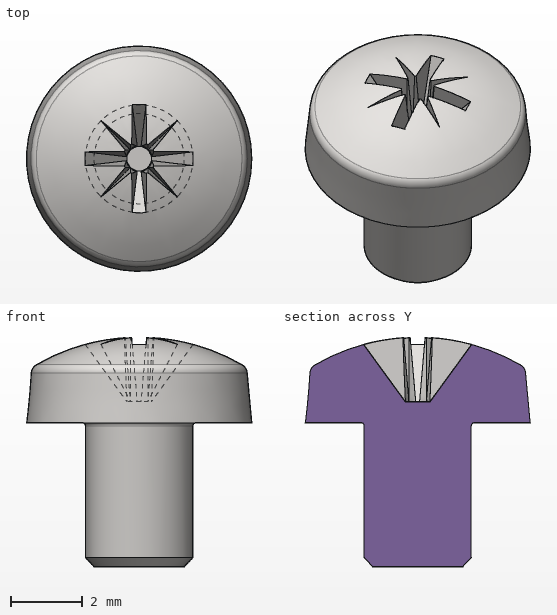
import cadquery as cq
import math

overall_height = 6.37
dome_apex_allowance = 0.018

shank_length = 4.0
shank_radius = 1.5
tip_chamfer_height = 0.255
tip_chamfer_width = 0.24
neck_radius = 0.08

head_height = overall_height + dome_apex_allowance - shank_length
head_radius = 3.135
flank_height = 1.39
flank_top_radius = 3.005
dome_edge_radius = 2.86
dome_rise = 0.77
dome_edge_height = head_height - dome_rise
dome_radius = (dome_edge_radius**2 + dome_rise**2) / (2 * dome_rise)


def dome_height(radius):
    """Height of the dome surface at a distance from the screw axis."""
    return head_height - dome_radius + math.sqrt(dome_radius**2 - radius**2)


mouth_reach = 1.505
recess_depth = 1.59
floor_radius = 0.345
core_mouth_radius = 0.445
wing_mouth_width = 0.38
wing_floor_width = 0.11
groove_half_angle = 4.8
groove_direction = 45
floor_height = dome_height(mouth_reach) - recess_depth

cutter_overrun = 0.065
cutter_height = head_height + cutter_overrun - floor_height


def size_at_cutter_top(floor_size, mouth_size):
    """Extend a size that tapers from floor to mouth up to the cutter top."""
    return floor_size + (mouth_size - floor_size) * cutter_height / recess_depth


def tapered_cutter(draw_floor, draw_top):
    """Straight-sided solid between an outline at the floor and one above the dome."""
    floor_outline = draw_floor(cq.Workplane("XY", origin=(0, 0, floor_height)))
    top_outline = draw_top(floor_outline.workplane(offset=cutter_height))
    return top_outline.loft(ruled=True)


def screw_blank():
    """Revolved shank and head without the recess."""
    dome_middle_radius = dome_edge_radius / 2
    profile = (
        cq.Workplane("XZ")
        .moveTo(0, -shank_length)
        .lineTo(shank_radius - tip_chamfer_width, -shank_length)
        .lineTo(shank_radius, tip_chamfer_height - shank_length)
        .lineTo(shank_radius, -neck_radius)
        .radiusArc((shank_radius + neck_radius, 0), neck_radius)
        .lineTo(head_radius, 0)
        .lineTo(flank_top_radius, flank_height)
        .tangentArcPoint((dome_edge_radius, dome_edge_height), relative=False)
        .threePointArc((dome_middle_radius, dome_height(dome_middle_radius)), (0, head_height))
        .close()
    )
    return profile.revolve(360, (0, 0, 0), (0, 1, 0))


def core():
    """Conical middle of the recess."""
    top_radius = size_at_cutter_top(floor_radius, core_mouth_radius)
    return tapered_cutter(
        lambda plane: plane.circle(floor_radius),
        lambda plane: plane.circle(top_radius),
    )


def wing_pair():
    """Two opposite wings along X, narrowing towards the floor."""
    top_reach = size_at_cutter_top(floor_radius, mouth_reach)
    top_width = size_at_cutter_top(wing_floor_width, wing_mouth_width)
    return tapered_cutter(
        lambda plane: plane.rect(2 * floor_radius, wing_floor_width),
        lambda plane: plane.rect(2 * top_reach, top_width),
    )


def groove_pair():
    """Two opposite V grooves along X, with a rhombus as every level section."""

    def rhombus(plane, reach):
        half_width = reach * math.tan(math.radians(groove_half_angle))
        corners = [(reach, 0), (0, half_width), (-reach, 0), (0, -half_width)]
        return plane.polyline(corners).close()

    top_reach = size_at_cutter_top(floor_radius, mouth_reach)
    return tapered_cutter(
        lambda plane: rhombus(plane, floor_radius),
        lambda plane: rhombus(plane, top_reach),
    )


result = screw_blank().cut(core())
for turn in (0, 90):
    wings = wing_pair().rotate((0, 0, 0), (0, 0, 1), turn)
    grooves = groove_pair().rotate((0, 0, 0), (0, 0, 1), turn + groove_direction)
    result = result.cut(wings).cut(grooves)